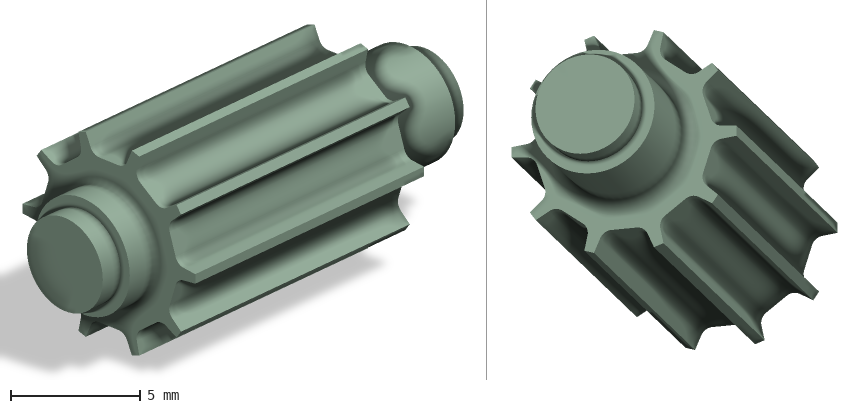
import cadquery as cq
import math

total_length = 20.5
stub_radius = 2.0
stub_length = 1.0
journal_radius = 2.5
front_journal_length = 1.5
rear_journal_length = 4.0
front_fillet = 0.25
rear_fillet = 0.5

tooth_count = 10
tip_radius = 4.57
tip_half_width = 0.2
flank_draft = 6.0
floor_distance = 3.55
root_fillet = 0.5

front_y = -total_length / 2
body_front_y = front_y + stub_length + front_journal_length
body_rear_y = total_length / 2 - stub_length - rear_journal_length
body_length = body_rear_y - body_front_y


def root_corner():
    """Intersection of a flank and a gap floor, for a tooth pointing along +X."""
    half_pitch = math.pi / tooth_count
    draft = math.tan(math.radians(flank_draft))
    flank_at_axis = tip_half_width + tip_radius * draft
    x = (floor_distance - flank_at_axis * math.sin(half_pitch)) / (
        math.cos(half_pitch) - draft * math.sin(half_pitch)
    )
    return x, flank_at_axis - x * draft


def turned(point, angle):
    """Rotate a profile point about the axis."""
    x, z = point
    return (
        x * math.cos(angle) - z * math.sin(angle),
        x * math.sin(angle) + z * math.cos(angle),
    )


def toothed_body():
    """Extruded tooth profile with rounded roots."""
    root_x, root_z = root_corner()
    tooth = [
        (root_x, -root_z),
        (tip_radius, -tip_half_width),
        (tip_radius, tip_half_width),
        (root_x, root_z),
    ]
    outline = []
    for index in range(tooth_count):
        angle = 2 * math.pi * index / tooth_count
        outline += [turned(point, angle) for point in tooth]

    selection_limit = (math.hypot(root_x, root_z) + tip_radius) / 2
    body_plane = cq.Workplane("XZ", origin=(0, body_rear_y, 0))
    inner_zone = body_plane.circle(selection_limit).extrude(body_length).val()
    body = body_plane.polyline(outline).close().extrude(body_length)
    root_edges = body.edges("|Y").filter(lambda edge: inner_zone.isInside(edge.Center()))
    return root_edges.fillet(root_fillet)


def shaft():
    """Revolved stepped shaft with concave fillets against the body ends."""
    front_step_y = front_y + stub_length
    rear_step_y = total_length / 2 - stub_length
    diagonal = math.sqrt(0.5)
    front_mid = front_fillet * (1 - diagonal)
    rear_mid = rear_fillet * (1 - diagonal)
    return (
        cq.Workplane("XY")
        .moveTo(0, front_y)
        .lineTo(stub_radius, front_y)
        .lineTo(stub_radius, front_step_y)
        .lineTo(journal_radius, front_step_y)
        .lineTo(journal_radius, body_front_y - front_fillet)
        .threePointArc(
            (journal_radius + front_mid, body_front_y - front_mid),
            (journal_radius + front_fillet, body_front_y),
        )
        .lineTo(journal_radius + rear_fillet, body_rear_y)
        .threePointArc(
            (journal_radius + rear_mid, body_rear_y + rear_mid),
            (journal_radius, body_rear_y + rear_fillet),
        )
        .lineTo(journal_radius, rear_step_y)
        .lineTo(stub_radius, rear_step_y)
        .lineTo(stub_radius, total_length / 2)
        .lineTo(0, total_length / 2)
        .close()
        .revolve(360, (0, 0, 0), (0, 1, 0))
    )


result = toothed_body().union(shaft())